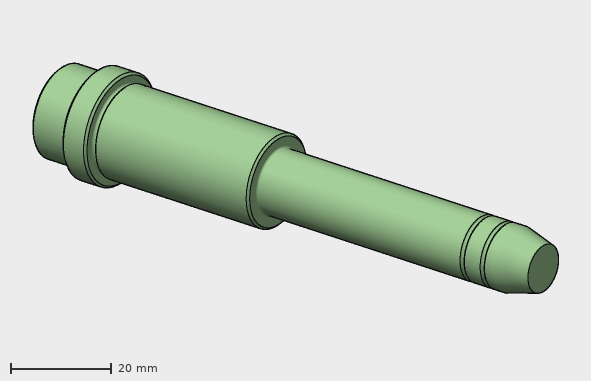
import cadquery as cq
import math

total_length = 120.0

body_diameter = 20.0
body_end = 54.0
body_chamfer = 0.5

collar_diameter = 24.0
collar_start = 9.0
collar_width = 6.0
collar_end = collar_start + collar_width
collar_chamfer = 0.5

pin_diameter = 14.0
pin_root_fillet = 0.5
tip_length = 7.0
tip_start = total_length - tip_length
tip_half_angle = 15.0
tip_diameter = pin_diameter - 2 * tip_length * math.tan(math.radians(tip_half_angle))

groove_width = 1.0
groove_depth = groove_width / 2
undercut_starts = (collar_start - groove_width, collar_end)
tip_groove_starts = (104.5, 109.5)


def add_groove(profile, start, diameter):
    """Continue a half profile straight to the start of a groove, then through its arc."""
    radius = diameter / 2
    middle = (start + groove_width / 2, radius - groove_depth)
    return profile.lineTo(start, radius).threePointArc(middle, (start + groove_width, radius))


def add_collar(profile):
    """Continue a half profile up and over the chamfered collar."""
    radius = collar_diameter / 2
    return (
        profile.lineTo(collar_start, radius - collar_chamfer)
        .lineTo(collar_start + collar_chamfer, radius)
        .lineTo(collar_end - collar_chamfer, radius)
        .lineTo(collar_end, radius - collar_chamfer)
    )


def add_shoulder(profile):
    """Continue a half profile over the body's end chamfer and the fillet at the pin root."""
    body_radius = body_diameter / 2
    pin_radius = pin_diameter / 2
    fillet_inset = pin_root_fillet * (1 - math.sqrt(0.5))
    return (
        profile.lineTo(body_end - body_chamfer, body_radius)
        .lineTo(body_end, body_radius - body_chamfer)
        .lineTo(body_end, pin_radius + pin_root_fillet)
        .threePointArc(
            (body_end + fillet_inset, pin_radius + fillet_inset),
            (body_end + pin_root_fillet, pin_radius),
        )
    )


def make_pin():
    """Revolve the half profile, drawn from the head end to the tip, about the X axis."""
    before_collar, after_collar = undercut_starts
    profile = (
        cq.Workplane("XZ")
        .lineTo(0, body_diameter / 2 - body_chamfer)
        .lineTo(body_chamfer, body_diameter / 2)
    )
    profile = add_groove(profile, before_collar, body_diameter)
    profile = add_collar(profile)
    profile = add_groove(profile, after_collar, body_diameter)
    profile = add_shoulder(profile)
    for start in tip_groove_starts:
        profile = add_groove(profile, start, pin_diameter)
    profile = (
        profile.lineTo(tip_start, pin_diameter / 2)
        .lineTo(total_length, tip_diameter / 2)
        .lineTo(total_length, 0)
        .close()
    )
    return profile.revolve(360, (0, 0, 0), (1, 0, 0))


result = make_pin()